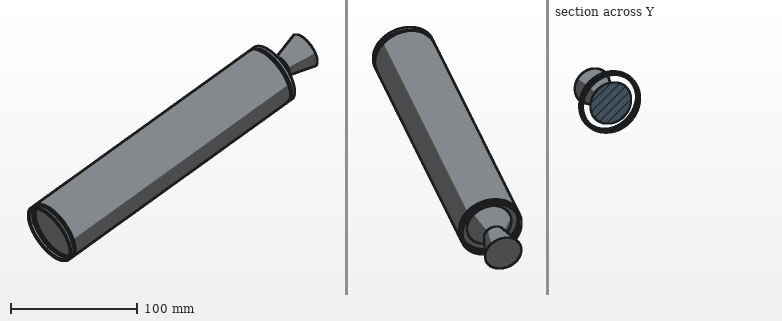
import cadquery as cq

total_length = 273.8
casing_length = 240.0
casing_diameter = 51.0
bore_diameter = 46.8

groove_diameter = 50.0
groove_width = 2.0
groove_setback = 3.0

core_recess = groove_setback + groove_width
front_face_lean = 3.3

throat_diameter = 17.5
nozzle_exit_diameter = 30.0
exit_cone_length = 24.0
nozzle_base_diameter = 36.7

front_y = -total_length / 2
casing_back_y = front_y + casing_length
front_bottom_y = front_y + core_recess
front_top_y = front_bottom_y + front_face_lean
core_back_y = casing_back_y - core_recess
nozzle_exit_y = front_y + total_length
throat_y = nozzle_exit_y - exit_cone_length


def revolve_about_y(profile):
    """Revolve (radius, y) points a full turn about the Y axis."""
    return cq.Workplane("XY").polyline(profile).close().revolve(360, (0, 0, 0), (0, 1, 0))


def make_cylinder(diameter, start_y, end_y):
    """Solid cylinder on the Y axis between two positions."""
    radius = diameter / 2
    return revolve_about_y([(0, start_y), (radius, start_y), (radius, end_y), (0, end_y)])


def make_casing():
    """Open tube with a retaining-ring groove inside each end."""
    tube = make_cylinder(casing_diameter, front_y, casing_back_y)
    tube = tube.cut(make_cylinder(bore_diameter, front_y, casing_back_y))
    front_groove_y = front_y + groove_setback
    back_groove_y = casing_back_y - groove_setback - groove_width
    for groove_y in (front_groove_y, back_groove_y):
        tube = tube.cut(make_cylinder(groove_diameter, groove_y, groove_y + groove_width))
    return tube


def make_core():
    """Solid core that fills the bore; its front face leans back toward the top."""
    side_profile = [
        (front_top_y, bore_diameter / 2),
        (core_back_y, bore_diameter / 2),
        (core_back_y, -bore_diameter / 2),
        (front_bottom_y, -bore_diameter / 2),
    ]
    block = cq.Workplane("YZ").polyline(side_profile).close().extrude(bore_diameter / 2, both=True)
    return block.intersect(make_cylinder(bore_diameter, front_y, core_back_y))


def make_nozzle():
    """Two cones that meet at the throat, standing on the back face of the core."""
    return revolve_about_y([
        (0, core_back_y),
        (nozzle_base_diameter / 2, core_back_y),
        (throat_diameter / 2, throat_y),
        (nozzle_exit_diameter / 2, nozzle_exit_y),
        (0, nozzle_exit_y),
    ])


casing = make_casing()
core = make_core()
nozzle = make_nozzle()

result = cq.Compound.makeCompound([casing.val(), core.val(), nozzle.val()])